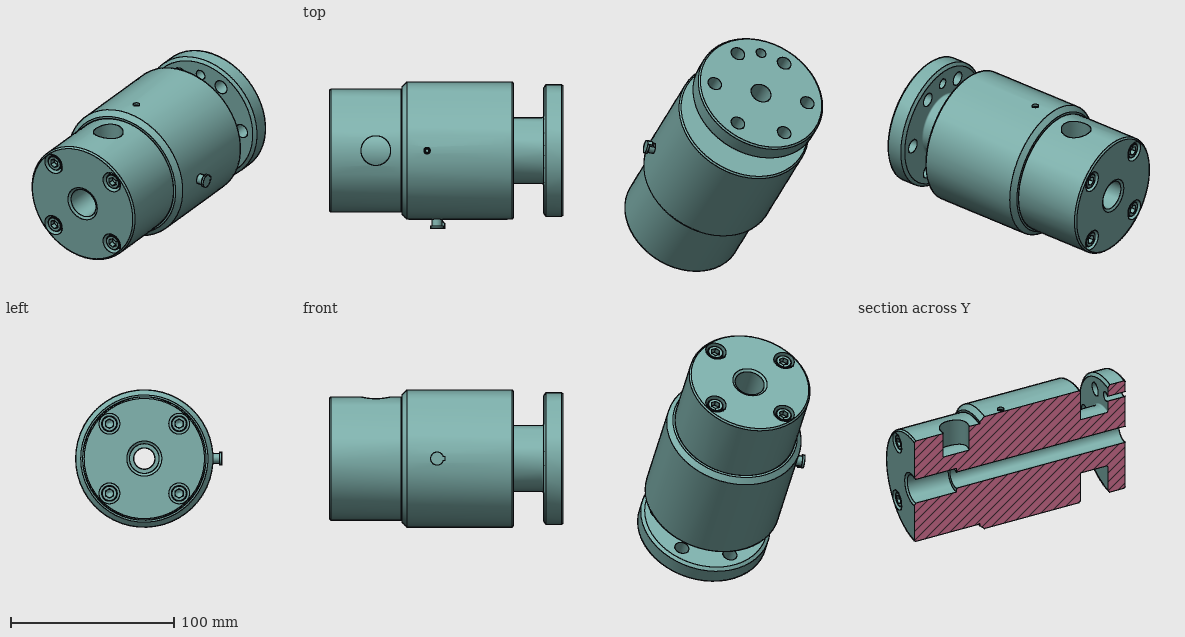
import cadquery as cq
import math

overall_length = 143.2
body_start = 44.4
body_end = 112.8
flange_thickness = 12.0
flange_start = overall_length - flange_thickness

cap_diameter = 75.6
body_diameter = 84.2
shaft_diameter = 40.5
flange_diameter = 80.9
edge_chamfer = 1.0
cap_rear_chamfer = 0.5
body_shoulder_chamfer = 3.1
flange_inner_chamfer_length = 1.5
flange_inner_chamfer_height = 2.1
shaft_root_fillet = 1.0

through_bore_diameter = 12.9
port_diameter = 18.2
port_x = 28.5
port_floor_diameter = shaft_diameter
inlet_bore_diameter = 18.2
inlet_bore_depth = 28.6
inlet_mouth_diameter = 21.5
inlet_mouth_depth = 1.0

screw_offset = 21.3
screw_counterbore_diameter = 12.7
screw_counterbore_depth = 7.2
screw_head_diameter = 9.6
screw_head_recess = 0.9
screw_head_chamfer = 0.5
screw_hex_width = 5.0
screw_hex_depth = 3.6

set_screw_x = 59.8
set_screw_diameter = 4.0
set_screw_recess = 1.5
set_screw_length = 4.3
set_screw_hex_width = 2.1
set_screw_hex_depth = 1.7
set_screw_chamfer = 0.5

flange_hole_circle_radius = 30.0
flange_hole_count = 6
flange_hole_diameter = 8.7
dowel_hole_diameter = 6.3

pin_x = 66.0
pin_reach = 47.5
pin_stem_diameter = 6.3
pin_head_diameter = 8.0
pin_head_thickness = 1.5
pin_embedment = 2.9
pin_root_y = pin_embedment - body_diameter / 2
key_width = 2.5
key_rib_reach = 3.3
key_tab_reach = 4.7
key_tab_height = 2.9

socket_tip_angle = 120.0


def disc(x_start, x_end, diameter):
    """Cylinder on the X axis between two stations."""
    return cq.Workplane("YZ", origin=(x_start, 0, 0)).circle(diameter / 2).extrude(x_end - x_start)


def hex_socket(plane, width, depth):
    """Hexagonal socket with a conical bottom, sunk along the plane's normal."""
    corner_diameter = width / math.cos(math.pi / 6)
    tip_depth = width / 2 / math.tan(math.radians(socket_tip_angle / 2))
    hexagon = cq.Workplane(plane).polygon(6, corner_diameter).extrude(depth)
    tip = cq.Solid.makeCone(width / 2, 0, tip_depth, plane.origin + plane.zDir * depth, plane.zDir)
    return hexagon.union(cq.Workplane(tip))


def turned_body():
    cap = disc(0, body_start, cap_diameter)
    cap = cap.faces("<X").chamfer(edge_chamfer).faces(">X").chamfer(cap_rear_chamfer)
    body = disc(body_start, body_end, body_diameter)
    body = body.faces("<X").chamfer(body_shoulder_chamfer).faces(">X").chamfer(edge_chamfer)
    flange = disc(flange_start, overall_length, flange_diameter)
    flange = flange.faces(">X").chamfer(edge_chamfer)
    flange = flange.faces("<X").chamfer(flange_inner_chamfer_length, flange_inner_chamfer_height)
    shaft = disc(body_end, flange_start, shaft_diameter)
    root = cq.selectors.RadiusNthSelector(0)
    neck = shaft.union(flange)
    neck = neck.faces(cq.selectors.NearestToPointSelector((flange_start, 0, flange_hole_circle_radius)))
    neck = neck.edges(root).fillet(shaft_root_fillet)
    return cap.union(body).union(neck)


def bores():
    mouth = cq.Solid.makeCone(
        inlet_mouth_diameter / 2,
        inlet_bore_diameter / 2,
        inlet_mouth_depth,
        cq.Vector(0, 0, 0),
        cq.Vector(1, 0, 0),
    )
    inlet = disc(0, inlet_bore_depth, inlet_bore_diameter).union(cq.Workplane(mouth))
    return disc(0, overall_length, through_bore_diameter).union(inlet)


def radial_port():
    """Port drilled down from the top; its floor is a cylinder around the X axis."""
    port = cq.Workplane("XY", origin=(port_x, 0, 0)).circle(port_diameter / 2).extrude(cap_diameter)
    return port.cut(disc(0, body_start, port_floor_diameter))


def add_cap_screw(part, y, z):
    """Counterbore the end face and seat a socket head screw in it."""
    counterbore = disc(0, screw_counterbore_depth, screw_counterbore_diameter)
    head = disc(screw_head_recess, screw_counterbore_depth, screw_head_diameter)
    head = head.faces("<X").chamfer(screw_head_chamfer)
    socket_plane = cq.Plane(origin=(screw_head_recess, 0, 0), xDir=(0, 0, 1), normal=(1, 0, 0))
    head = head.cut(hex_socket(socket_plane, screw_hex_width, screw_hex_depth))
    position = (0, y, z)
    return part.cut(counterbore.translate(position)).union(head.translate(position))


def add_set_screw(part):
    """Drill the top of the body and seat a chamfered hex socket set screw below the surface."""
    screw_face_z = body_diameter / 2 - set_screw_recess
    hole_floor = cq.Workplane("XY", origin=(set_screw_x, 0, screw_face_z - set_screw_length))
    hole = hole_floor.circle(set_screw_diameter / 2).extrude(set_screw_length + 2 * set_screw_recess)
    screw = hole_floor.circle(set_screw_diameter / 2).extrude(set_screw_length)
    screw = screw.faces(">Z").chamfer(set_screw_chamfer)
    socket_plane = cq.Plane(origin=(set_screw_x, 0, screw_face_z), xDir=(1, 0, 0), normal=(0, 0, -1))
    socket = hex_socket(socket_plane, set_screw_hex_width, set_screw_hex_depth)
    return part.cut(hole).union(screw).cut(socket)


def flange_holes():
    flange_face = cq.Workplane("YZ", origin=(flange_start, 0, 0))
    bolt_holes = (
        flange_face.polarArray(flange_hole_circle_radius, 0, 360, flange_hole_count)
        .circle(flange_hole_diameter / 2)
        .extrude(flange_thickness)
    )
    dowel_hole = (
        flange_face.center(0, flange_hole_circle_radius)
        .circle(dowel_hole_diameter / 2)
        .extrude(flange_thickness)
    )
    return bolt_holes.union(dowel_hole)


def side_pin():
    base = cq.Workplane("XZ", origin=(pin_x, pin_root_y, 0))
    stem = base.circle(pin_stem_diameter / 2).extrude(pin_reach + pin_root_y)
    head = cq.Workplane("XZ", origin=(pin_x, pin_head_thickness - pin_reach, 0))
    head = head.circle(pin_head_diameter / 2).extrude(pin_head_thickness)
    tab_top_y = key_tab_height - pin_reach
    slope_top_y = tab_top_y + key_tab_reach - key_rib_reach
    key = (
        cq.Workplane("XY", origin=(pin_x, 0, -key_width / 2))
        .moveTo(0, pin_root_y)
        .lineTo(key_rib_reach, pin_root_y)
        .lineTo(key_rib_reach, slope_top_y)
        .lineTo(key_tab_reach, tab_top_y)
        .lineTo(key_tab_reach, -pin_reach)
        .lineTo(0, -pin_reach)
        .close()
        .extrude(key_width)
    )
    return stem.union(head).union(key)


result = turned_body().cut(bores()).cut(radial_port())
for screw_y in (-screw_offset, screw_offset):
    for screw_z in (-screw_offset, screw_offset):
        result = add_cap_screw(result, screw_y, screw_z)
result = add_set_screw(result)
result = result.cut(flange_holes()).union(side_pin())